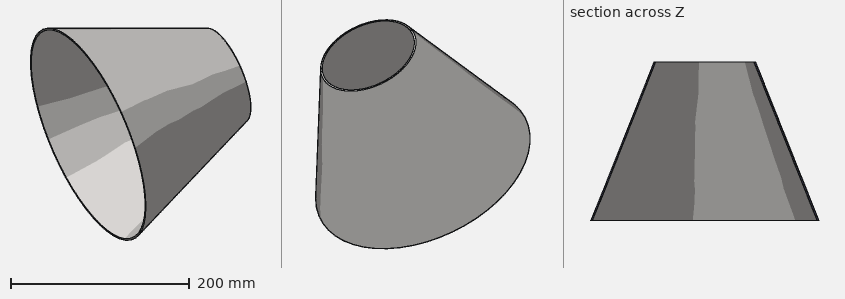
import cadquery as cq

large_diameter = 256.0
small_diameter = 114.0
length = 178.0
radial_wall = 2.0

large_radius = large_diameter / 2
small_radius = small_diameter / 2

wall_section = (
    cq.Workplane("XY")
    .moveTo(large_radius - radial_wall, 0)
    .lineTo(large_radius, 0)
    .lineTo(small_radius, length)
    .lineTo(small_radius - radial_wall, length)
    .close()
)

result = wall_section.revolve(360, (0, 0), (0, 1))